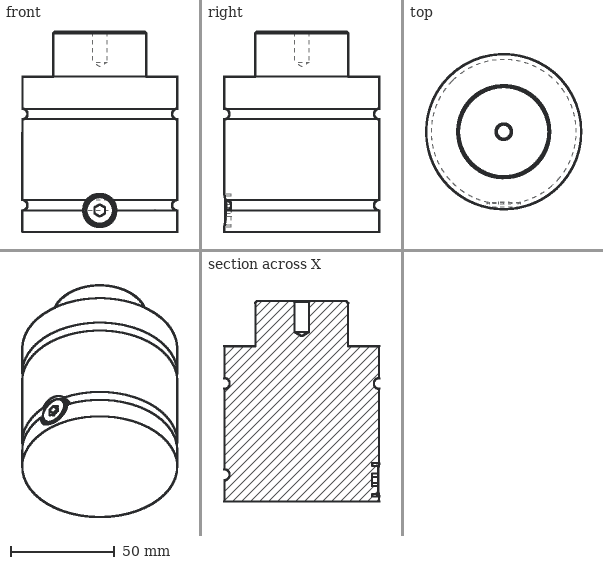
import cadquery as cq
import math

total_height = 97.0
body_diameter = 75.0
body_height = 75.1
rod_diameter = 45.0
rod_chamfer = 1.0
body_radius = body_diameter / 2

groove_radius = 2.5
upper_groove_height = 57.0
lower_groove_height = 13.0

rod_hole_diameter = 6.8
rod_hole_mouth_diameter = 8.0
rod_hole_depth = 15.0
drill_point_angle = 118.0

port_height = lower_groove_height - groove_radius
port_diameter = 16.0
port_depth = 3.4
plug_diameter = 14.0
plug_length = 6.8
plug_chamfer = 0.6
plug_face_inset = 0.5
hex_sides = 6
hex_across_flats = 5.0
hex_depth = 3.0


def make_body():
    body = cq.Workplane("XY").circle(body_radius).extrude(body_height)
    rod = (
        cq.Workplane("XY")
        .circle(rod_diameter / 2)
        .extrude(total_height)
        .faces(">Z")
        .chamfer(rod_chamfer)
    )
    return body.union(rod)


def groove_cutter(height):
    return (
        cq.Workplane("XZ")
        .center(body_radius, height)
        .circle(groove_radius)
        .revolve(360, (-body_radius, 0), (-body_radius, 1))
    )


def rod_hole_cutter():
    radius = rod_hole_diameter / 2
    mouth_radius = rod_hole_mouth_diameter / 2
    mouth_depth = mouth_radius - radius
    point_length = radius / math.tan(math.radians(drill_point_angle / 2))
    bottom = total_height - rod_hole_depth
    profile = [
        (0, total_height),
        (mouth_radius, total_height),
        (radius, total_height - mouth_depth),
        (radius, bottom),
        (0, bottom - point_length),
    ]
    return cq.Workplane("XZ").polyline(profile).close().revolve(360, (0, 0), (0, 1))


def port_plane(inset):
    """Plane facing -Y at the port axis, set in from the outermost body line."""
    return cq.Workplane("XZ", origin=(0, inset - body_radius, port_height))


def port_cutter():
    return port_plane(0).circle(port_diameter / 2).extrude(-port_depth)


def make_plug():
    hex_diameter = hex_across_flats / math.cos(math.pi / hex_sides)
    plug = (
        port_plane(plug_face_inset)
        .circle(plug_diameter / 2)
        .extrude(-plug_length)
        .faces("<Y")
        .chamfer(plug_chamfer)
    )
    socket = (
        port_plane(plug_face_inset)
        .transformed(rotate=(0, 0, 90))
        .polygon(hex_sides, hex_diameter)
        .extrude(-hex_depth)
    )
    return plug.cut(socket)


def plug_seat_cutter():
    """Clears the body where the plug sits, so its socket stays open."""
    return port_plane(0).circle(plug_diameter / 2).extrude(-plug_length)


result = make_body().cut(rod_hole_cutter())
for groove_height in (upper_groove_height, lower_groove_height):
    result = result.cut(groove_cutter(groove_height))
result = result.cut(port_cutter()).cut(plug_seat_cutter()).union(make_plug())